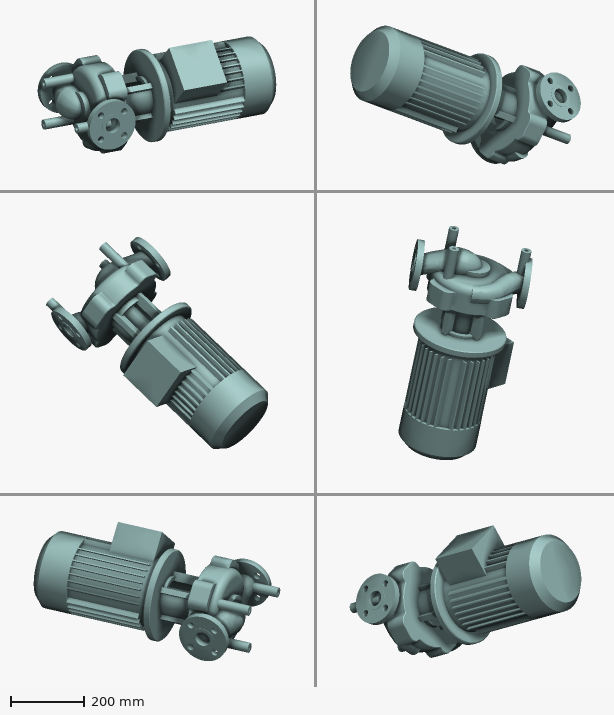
import cadquery as cq
import math


LEG_TIP_Y = -99.0
HUB_FRONT_Y = -28.5
CASING_FRONT_Y = -13.0
COVER_PLATE_FRONT_Y = 49.0
COVER_PLATE_BACK_Y = 66.5
LANTERN_FLANGE_FRONT_Y = 172.0
MOTOR_FRONT_Y = 191.5
FIN_FRONT_Y = 217.0
FAN_COVER_FRONT_Y = 428.0
FAN_COVER_BACK_Y = 533.0

MOTOR_CORE_RADIUS = 96.0
FAN_COVER_RADIUS = 108.0
FAN_COVER_CHAMFER = 21.5
FIN_THICKNESS = 4.0
FIN_PITCH = 19.0
FINS_EACH_SIDE = 3
MOTOR_TILT = 45.0

BOX_WIDTH = 130.0
BOX_LENGTH = 131.0
BOX_TOP = 157.5
LID_HEIGHT = 40.5

LANTERN_FLANGE_RADIUS = 128.0
LANTERN_FLANGE_CHAMFER = 2.5
TUBE_RADIUS = 56.0
TUBE_BORE_RADIUS = 43.5
LUG_REACH = 69.0
LUG_WIDTH = 16.0
FRONT_RING_LENGTH = 14.5
BACK_RING_LENGTH = 9.0
SHAFT_RADIUS = 24.5

CASING_RADIUS = 113.0
CASING_ROUNDING = 22.0
LOBE_FRONT_Y = 9.5
COVER_PLATE_CHAMFER = 2.0
HUB_RADIUS = 45.0
LOBE_REACH = 134.5
LOBE_WIDTH = 83.5
LOBE_CORNER_RADIUS = 23.5
LOBE_ROOT_RADIUS = 9.5
DIAGONALS = (45, 135, 225, 315)

FACE_TO_FACE = 320.0
PIPE_CENTRE_X = -4.5
PIPE_RADIUS = 31.0
PIPE_FLANGE_RADIUS = 70.0
PIPE_FLANGE_THICKNESS = 18.5
RAISED_FACE_RADIUS = 32.0
RAISED_FACE_HEIGHT = 1.0
PIPE_BORE_RADIUS = 21.5
BOLT_CIRCLE_RADIUS = 50.0
BOLT_HOLE_RADIUS = 9.5
INLET_FACE_X = PIPE_CENTRE_X - FACE_TO_FACE / 2
OUTLET_FACE_X = PIPE_CENTRE_X + FACE_TO_FACE / 2
FLANGE_DEPTH = RAISED_FACE_HEIGHT + PIPE_FLANGE_THICKNESS

ELBOW_X = -50.5
ELBOW_Y = -25.0
ELBOW_RADIUS = 45.0
ELBOW_END_X = 21.0
INLET_START_Y = -3.0
INLET_MIDDLE_X = -98.0
INLET_MIDDLE_Y = -20.0
INLET_MIDDLE_HEIGHT = 79.5
INLET_MIDDLE_DEPTH = 63.0

SCROLL_START_RADIUS = 24.5
SCROLL_START_Y = 9.5
SCROLL_SECTIONS = 6
SCROLL_PATH = [
    (0, SCROLL_START_Y, -100.0),
    (44.0, 8.0, -86.5),
    (76.0, 6.0, -59.0),
    (95.0, 3.0, -28.5),
    (114.0, 1.0, -8.0),
    (OUTLET_FACE_X - FLANGE_DEPTH, 0, 0),
]

LEG_RADIUS = 14.0
LEG_LENGTH = 99.0
LEG_HOLE_RADIUS = 6.0
LEG_HOLE_DEPTH = 19.0
LEG_PLACES = ((-69.0, 60.0), (-69.0, -60.0), (132.0, 0))


def disc(radius, front_y, back_y):
    """A cylinder on the shaft axis."""
    return cq.Workplane("XZ", origin=(0, back_y, 0)).circle(radius).extrude(back_y - front_y)


def turned(body, angle):
    """The body turned about the shaft axis; a positive angle takes +Z towards +X."""
    return body.rotate((0, 0, 0), (0, 1, 0), angle)


def block(width, front_y, back_y, bottom, top):
    """A box centred on X = 0, between two stations along Y and two heights along Z."""
    size = (width, back_y - front_y, top - bottom)
    centre = (0, (front_y + back_y) / 2, (bottom + top) / 2)
    return cq.Workplane("XY").box(*size).translate(centre)



def make_fan_cover():
    cover = disc(FAN_COVER_RADIUS, FAN_COVER_FRONT_Y, FAN_COVER_BACK_Y)
    return cover.faces(">Y").chamfer(FAN_COVER_CHAMFER)


def box_block(bottom, top):
    back_y = FIN_FRONT_Y + BOX_LENGTH
    return turned(block(BOX_WIDTH, FIN_FRONT_Y, back_y, bottom, top), MOTOR_TILT)


def make_motor():
    """A round core with parallel fins on four sides, left bare under the terminal box."""
    fins = cq.Workplane("XY")
    for index in range(-FINS_EACH_SIDE, FINS_EACH_SIDE + 1):
        plate = block(
            FIN_THICKNESS, FIN_FRONT_Y, FAN_COVER_FRONT_Y, -FAN_COVER_RADIUS, FAN_COVER_RADIUS
        ).translate((index * FIN_PITCH, 0, 0))
        for angle in (MOTOR_TILT, MOTOR_TILT + 90):
            fins = fins.union(turned(plate, angle))
    fins = fins.intersect(disc(FAN_COVER_RADIUS, FIN_FRONT_Y, FAN_COVER_FRONT_Y))
    fins = fins.cut(box_block(0, BOX_TOP))
    return disc(MOTOR_CORE_RADIUS, MOTOR_FRONT_Y, FAN_COVER_FRONT_Y).union(fins)


def make_terminal_box():
    core = disc(MOTOR_CORE_RADIUS, MOTOR_FRONT_Y, FAN_COVER_FRONT_Y)
    return box_block(0, BOX_TOP - LID_HEIGHT).cut(core)


def make_terminal_lid():
    return box_block(BOX_TOP - LID_HEIGHT, BOX_TOP)



def is_on_casing_circle(edge):
    middle = edge.Center()
    return math.isclose(math.hypot(middle.x, middle.z), CASING_RADIUS, abs_tol=0.05)


def lobed_plate(front_y, back_y):
    """A round plate with four rounded lobes on its diagonals."""
    lobe = block(LOBE_WIDTH, front_y, back_y, 0, LOBE_REACH)
    lobe = lobe.faces(">Z").edges("|Y").fillet(LOBE_CORNER_RADIUS)
    plate = disc(CASING_RADIUS, front_y, back_y)
    for angle in DIAGONALS:
        plate = plate.union(turned(lobe, angle))
    root_edges = [edge for edge in plate.edges("|Y").vals() if is_on_casing_circle(edge)]
    return plate.newObject(root_edges).fillet(LOBE_ROOT_RADIUS)


def window_wedge():
    """The opening between two neighbouring lugs, bounded by their facing sides."""
    front_y = COVER_PLATE_BACK_Y + FRONT_RING_LENGTH
    back_y = LANTERN_FLANGE_FRONT_Y - BACK_RING_LENGTH
    apex_z = LUG_WIDTH / math.sqrt(2)
    return (
        cq.Workplane("XZ", origin=(0, back_y, 0))
        .polyline([(0, apex_z), (LUG_REACH, apex_z + LUG_REACH), (-LUG_REACH, apex_z + LUG_REACH)])
        .close()
        .extrude(back_y - front_y)
    )


def make_lantern():
    """The motor flange, the windowed tube with four lugs, and the casing cover plate."""
    flange = disc(LANTERN_FLANGE_RADIUS, LANTERN_FLANGE_FRONT_Y, MOTOR_FRONT_Y)
    flange = flange.edges().chamfer(LANTERN_FLANGE_CHAMFER)
    cover_plate = lobed_plate(COVER_PLATE_FRONT_Y, COVER_PLATE_BACK_Y)
    cover_plate = cover_plate.faces(">Y").chamfer(COVER_PLATE_CHAMFER)
    tube = disc(TUBE_RADIUS, COVER_PLATE_BACK_Y, LANTERN_FLANGE_FRONT_Y)
    lug = block(LUG_WIDTH, COVER_PLATE_BACK_Y, LANTERN_FLANGE_FRONT_Y, 0, LUG_REACH)
    for angle in DIAGONALS:
        tube = tube.union(turned(lug, angle))
    for angle in (0, 180):
        tube = tube.cut(turned(window_wedge(), angle))
    bore = disc(TUBE_BORE_RADIUS, COVER_PLATE_BACK_Y, MOTOR_FRONT_Y)
    return cover_plate.union(tube).union(flange).cut(bore)


def make_shaft():
    return disc(SHAFT_RADIUS, COVER_PLATE_BACK_Y, MOTOR_FRONT_Y)



def make_leg(x, z):
    """A round leg with a blind hole in its tip."""
    root_y = LEG_TIP_Y + LEG_LENGTH
    leg = cq.Workplane("XZ", origin=(x, root_y, z)).circle(LEG_RADIUS).extrude(LEG_LENGTH)
    hole = cq.Workplane("XZ", origin=(x, LEG_TIP_Y + LEG_HOLE_DEPTH, z))
    return leg.cut(hole.circle(LEG_HOLE_RADIUS).extrude(LEG_HOLE_DEPTH))



def pipe_flange(face_x, inward):
    """A bolted flange with a raised face at face_x; inward is +1 or -1 along X."""
    def section(x):
        return cq.Workplane("YZ", origin=(x, 0, 0))

    plate_x = face_x + inward * RAISED_FACE_HEIGHT
    plate = section(plate_x).circle(PIPE_FLANGE_RADIUS).extrude(inward * PIPE_FLANGE_THICKNESS)
    bolt_holes = (
        section(plate_x)
        .polarArray(BOLT_CIRCLE_RADIUS, 45, 360, 4)
        .circle(BOLT_HOLE_RADIUS)
        .extrude(inward * PIPE_FLANGE_THICKNESS)
    )
    raised_face = section(face_x).circle(RAISED_FACE_RADIUS).extrude(inward * FLANGE_DEPTH)
    return plate.cut(bolt_holes).union(raised_face)


def pipe_bore(face_x, inward):
    bore = cq.Workplane("YZ", origin=(face_x, 0, 0)).circle(PIPE_BORE_RADIUS)
    return bore.extrude(inward * FLANGE_DEPTH)


def inlet_pipe():
    """A widening pipe that dips forward and ends in a half-ellipsoid elbow over the hub."""
    start_x = INLET_FACE_X + FLANGE_DEPTH
    pipe = (
        cq.Workplane("YZ", origin=(start_x, 0, 0))
        .center(INLET_START_Y, 0)
        .ellipse(PIPE_RADIUS, PIPE_RADIUS)
        .workplane(offset=INLET_MIDDLE_X - start_x)
        .center(INLET_MIDDLE_Y - INLET_START_Y, 0)
        .ellipse(INLET_MIDDLE_DEPTH / 2, INLET_MIDDLE_HEIGHT / 2)
        .workplane(offset=ELBOW_X - INLET_MIDDLE_X)
        .center(ELBOW_Y - INLET_MIDDLE_Y, 0)
        .ellipse(ELBOW_RADIUS, ELBOW_RADIUS)
        .loft()
    )
    elbow_length = ELBOW_END_X - ELBOW_X
    elbow = (
        cq.Workplane("XY", origin=(ELBOW_X, ELBOW_Y, 0))
        .moveTo(elbow_length, 0)
        .ellipseArc(elbow_length, ELBOW_RADIUS, 0, 90, startAtCurrent=True)
        .lineTo(0, 0)
        .close()
        .revolve(360, (0, 0, 0), (1, 0, 0))
    )
    return pipe.union(elbow)


def outlet_scroll():
    """A pipe growing along an S-shaped path from the bottom of the casing to the outlet flange."""
    level = cq.Vector(1, 0, 0)
    path = cq.Edge.makeSpline([cq.Vector(*point) for point in SCROLL_PATH], tangents=[level, level])
    sections = []
    for index in range(SCROLL_SECTIONS):
        fraction = index / (SCROLL_SECTIONS - 1)
        radius = SCROLL_START_RADIUS + fraction * (PIPE_RADIUS - SCROLL_START_RADIUS)
        sections.append(
            cq.Wire.makeCircle(radius, path.positionAt(fraction), path.tangentAt(fraction))
        )
    return cq.Workplane(cq.Solid.makeLoft(sections))


def make_casing(sockets):
    """The rounded casing with its lobes, hub, pipes and flanges, and a socket for each leg."""
    dish = disc(CASING_RADIUS, CASING_FRONT_Y, COVER_PLATE_FRONT_Y)
    dish = dish.faces("<Y").edges().fillet(CASING_ROUNDING)
    body = dish.union(lobed_plate(LOBE_FRONT_Y, COVER_PLATE_FRONT_Y))
    body = body.union(disc(HUB_RADIUS, HUB_FRONT_Y, CASING_FRONT_Y + CASING_ROUNDING))
    body = body.union(inlet_pipe()).union(outlet_scroll())
    for face_x, inward in ((INLET_FACE_X, 1), (OUTLET_FACE_X, -1)):
        body = body.union(pipe_flange(face_x, inward)).cut(pipe_bore(face_x, inward))
    for socket in sockets:
        body = body.cut(socket)
    return body


fan_cover = make_fan_cover()
motor = make_motor()
terminal_box = make_terminal_box()
terminal_lid = make_terminal_lid()
lantern = make_lantern()
shaft = make_shaft()
legs = [make_leg(x, z) for x, z in LEG_PLACES]
casing = make_casing(legs)

result = cq.Compound.makeCompound(
    [
        fan_cover.val(),
        motor.val(),
        terminal_box.val(),
        terminal_lid.val(),
        lantern.val(),
        shaft.val(),
        casing.val(),
        *[leg.val() for leg in legs],
    ]
)